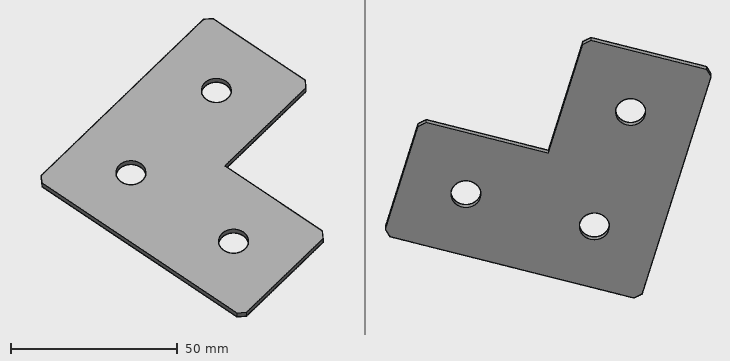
import cadquery as cq

side_length = 80.0
arm_width = side_length / 2
thickness = 2.0
corner_chamfer = 2.0
hole_diameter = 9.0

near_center = arm_width / 2
far_center = side_length - arm_width / 2
hole_centers = [
    (near_center, near_center),
    (far_center, near_center),
    (near_center, far_center),
]

outline = [
    (0, 0),
    (side_length, 0),
    (side_length, arm_width),
    (arm_width, arm_width),
    (arm_width, side_length),
    (0, side_length),
]
plate = cq.Workplane("XY").polyline(outline).close().extrude(thickness)

inside_corner = cq.selectors.NearestToPointSelector((arm_width, arm_width, thickness / 2))
vertical_edges = cq.selectors.ParallelDirSelector(cq.Vector(0, 0, 1))
outer_corners = vertical_edges - inside_corner
plate = plate.edges(outer_corners).chamfer(corner_chamfer)

holes = cq.Workplane("XY").pushPoints(hole_centers).circle(hole_diameter / 2).extrude(thickness)
result = plate.cut(holes)